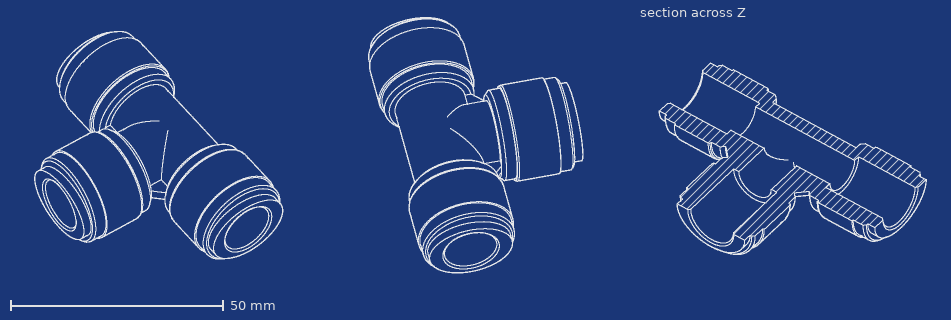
import cadquery as cq

reach = 31.9
tube_radius = 8.5

shoulder_start = 12.3
sleeve_start = 15.8
sleeve_end = 26.3
cap_end = 29.8

shoulder_radius = 10.85
shoulder_chamfer = 0.95
sleeve_diameter = 23.0
sleeve_radius = sleeve_diameter / 2
sleeve_chamfer_length = 0.45
sleeve_chamfer_height = 0.2
cap_radius = 11.1
cap_chamfer = 0.6

collet_half_width = 10.0
collet_half_height = 8.15

flow_radius = 4.8
socket_bore_radius = 6.3
socket_bore_depth = 17.2
mouth_chamfer = 0.5

web_thickness = 2.5
web_edge_sum = 22.2

branch_planes = [
    cq.Plane(origin=(0, 0, 0), xDir=(0, 1, 0), normal=(1, 0, 0)),
    cq.Plane(origin=(0, 0, 0), xDir=(0, 1, 0), normal=(-1, 0, 0)),
    cq.Plane(origin=(0, 0, 0), xDir=(1, 0, 0), normal=(0, -1, 0)),
]


def cylinder(plane, radius, start, end):
    return cq.Workplane(plane).workplane(offset=start).circle(radius).extrude(end - start)


def make_branch(plane):
    """One tube with its stepped socket and oval collet, still solid inside."""
    tube = cylinder(plane, tube_radius, 0, shoulder_start)
    shoulder = cylinder(plane, shoulder_radius, shoulder_start, sleeve_start)
    shoulder = shoulder.faces(cq.selectors.DirectionMinMaxSelector(plane.zDir, False))
    shoulder = shoulder.chamfer(shoulder_chamfer)
    sleeve = cylinder(plane, sleeve_radius, sleeve_start, sleeve_end)
    sleeve = sleeve.faces(cq.selectors.DirectionMinMaxSelector(plane.zDir, False))
    sleeve = sleeve.chamfer(sleeve_chamfer_length, sleeve_chamfer_height)
    cap = cylinder(plane, cap_radius, sleeve_end, cap_end)
    cap = cap.faces(cq.selectors.DirectionMinMaxSelector(plane.zDir, True)).chamfer(cap_chamfer)
    collet = (
        cq.Workplane(plane)
        .workplane(offset=cap_end)
        .ellipse(collet_half_width, collet_half_height)
        .extrude(reach - cap_end)
    )
    return tube.union(shoulder).union(sleeve).union(cap).union(collet)


def make_bore(plane):
    """Flow passage, tube socket and the flared mouth of one branch."""
    passage = cylinder(plane, flow_radius, 0, reach)
    socket = cylinder(plane, socket_bore_radius, reach - socket_bore_depth, reach)
    mouth = (
        cq.Workplane(plane)
        .workplane(offset=reach - mouth_chamfer)
        .circle(socket_bore_radius)
        .workplane(offset=mouth_chamfer)
        .circle(socket_bore_radius + mouth_chamfer)
        .loft(ruled=True)
    )
    return passage.union(socket).union(mouth)


def make_webs():
    """Single plate spanning both inner corners; its middle lies within the tubes."""
    far = shoulder_start
    near = web_edge_sum - shoulder_start
    return (
        cq.Workplane("XY")
        .polyline([(-far, 0), (far, 0), (far, -near), (near, -far), (-near, -far), (-far, -near)])
        .close()
        .extrude(web_thickness / 2, both=True)
    )


body = make_webs()
for branch_plane in branch_planes:
    body = body.union(make_branch(branch_plane))
for branch_plane in branch_planes:
    body = body.cut(make_bore(branch_plane))

result = body